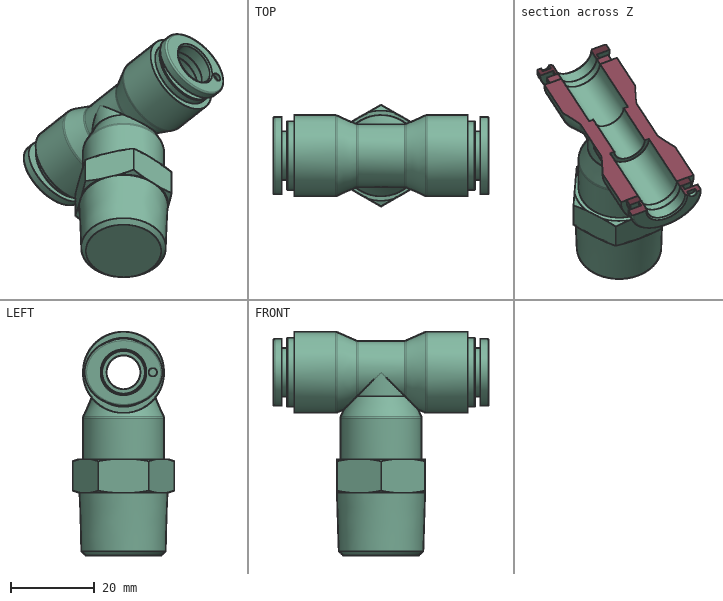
import cadquery as cq
import math

BRANCH_DIAMETER = 19.4
WAIST_DIAMETER = 15.0
WAIST_LENGTH = 5.7
CONE_LENGTH = 5.0
BLEND_RADIUS = 1.0
RUN_HALF_LENGTH = 20.7
STEM_LENGTH = 20.7
TUBE_BORE_DIAMETER = 10.2
FLOW_BORE_DIAMETER = 8.0
CONE_END = WAIST_LENGTH + CONE_LENGTH
TUBE_BORE_DEPTH = RUN_HALF_LENGTH - WAIST_LENGTH

HEX_ACROSS_FLATS = 21.0
HEX_HEIGHT = 8.0
HEX_CHAMFER_DIAMETER = 21.5
HEX_CHAMFER_HEIGHT = 0.5
THREAD_LENGTH = 15.0
THREAD_TOP_DIAMETER = 21.1
THREAD_TAPER = 1 / 16
THREAD_CHAMFER = 1.1
HEX_ACROSS_CORNERS = HEX_ACROSS_FLATS / math.cos(math.radians(30))
THREAD_END_DIAMETER = THREAD_TOP_DIAMETER - THREAD_TAPER * THREAD_LENGTH

COLLAR_DIAMETER = 16.5
COLLAR_LENGTH = 1.75
COLLAR_CHAMFER = 0.2

SLEEVE_NECK_DIAMETER = 11.7
SLEEVE_BORE_DIAMETER = 10.15
SLEEVE_BORE_CHAMFER = 0.4
FLANGE_WIDTH = 18.5
FLANGE_HEIGHT = 16.0
FLANGE_THICKNESS = 2.1
FLANGE_EDGE_RADIUS = 0.4
OVERALL_LENGTH = 51.4
MARK_DIAMETER = 2.0
MARK_OFFSET = 7.0
MARK_DEPTH = 1.0
COLLAR_OUTER_END = RUN_HALF_LENGTH + COLLAR_LENGTH
SLEEVE_LENGTH = OVERALL_LENGTH / 2 - COLLAR_OUTER_END


def make_branch(length):
    """Waist, cone and wide cylinder standing on the XY plane, rounded at the wide end of the cone."""
    waist_radius = WAIST_DIAMETER / 2
    branch_radius = BRANCH_DIAMETER / 2
    branch = (
        cq.Workplane("XZ")
        .lineTo(waist_radius, 0)
        .lineTo(waist_radius, WAIST_LENGTH)
        .lineTo(branch_radius, CONE_END)
        .lineTo(branch_radius, length)
        .lineTo(0, length)
        .close()
        .revolve(360, (0, 0, 0), (0, 1, 0))
    )
    return blend_joint(branch, CONE_END)


def blend_joint(branch, height):
    """Round the circular edge of a branch at the given height."""
    reach = BRANCH_DIAMETER
    joint = cq.selectors.BoxSelector(
        (-reach, -reach, height - BLEND_RADIUS), (reach, reach, height + BLEND_RADIUS)
    )
    return branch.edges("%CIRCLE").edges(joint).fillet(BLEND_RADIUS)


def make_tee_body():
    """Two run arms and a stem, bored along the run; only the arms are rounded at the waist as well."""
    arm = blend_joint(make_branch(RUN_HALF_LENGTH), WAIST_LENGTH).rotate((0, 0, 0), (0, 1, 0), 90)
    stem = make_branch(STEM_LENGTH).mirror("XY")
    body = arm.union(arm.mirror("YZ")).union(stem)
    flow_bore = (
        cq.Workplane("YZ").circle(FLOW_BORE_DIAMETER / 2).extrude(RUN_HALF_LENGTH, both=True)
    )
    body = body.cut(flow_bore)
    for side in (-1, 1):
        tube_bore = (
            cq.Workplane("YZ", origin=(side * RUN_HALF_LENGTH, 0, 0))
            .circle(TUBE_BORE_DIAMETER / 2)
            .extrude(-side * TUBE_BORE_DEPTH)
        )
        body = body.cut(tube_bore)
    return body


def make_nipple():
    """Hexagon with chamfered corners above a tapered thread blank."""
    hex_top = -STEM_LENGTH
    hex_bottom = hex_top - HEX_HEIGHT
    hexagon = (
        cq.Workplane("XY", origin=(0, 0, hex_bottom))
        .polygon(6, HEX_ACROSS_CORNERS)
        .extrude(HEX_HEIGHT)
        .rotate((0, 0, 0), (0, 0, 1), 30)
    )
    corner_radius = HEX_ACROSS_CORNERS / 2
    chamfer_envelope = (
        cq.Workplane("XY", origin=(0, 0, hex_bottom))
        .circle(corner_radius)
        .extrude(HEX_HEIGHT)
        .faces("<Z or >Z")
        .edges()
        .chamfer(HEX_CHAMFER_HEIGHT, corner_radius - HEX_CHAMFER_DIAMETER / 2)
    )
    thread = (
        cq.Workplane("XY", origin=(0, 0, hex_bottom))
        .circle(THREAD_TOP_DIAMETER / 2)
        .workplane(offset=-THREAD_LENGTH)
        .circle(THREAD_END_DIAMETER / 2)
        .loft()
        .faces("<Z")
        .chamfer(THREAD_CHAMFER)
    )
    return hexagon.intersect(chamfer_envelope).union(thread)


def make_collar():
    """Ring on the +X end face of the run."""
    return (
        cq.Workplane("YZ", origin=(RUN_HALF_LENGTH, 0, 0))
        .circle(COLLAR_DIAMETER / 2)
        .extrude(COLLAR_LENGTH)
        .faces(">X")
        .chamfer(COLLAR_CHAMFER)
        .cut(
            cq.Workplane("YZ", origin=(RUN_HALF_LENGTH, 0, 0))
            .circle(TUBE_BORE_DIAMETER / 2)
            .extrude(COLLAR_LENGTH)
        )
    )


def make_sleeve():
    """Release sleeve outside the +X collar: round neck, oval flange, bore and round mark."""
    outer_end = OVERALL_LENGTH / 2
    neck = (
        cq.Workplane("YZ", origin=(COLLAR_OUTER_END, 0, 0))
        .circle(SLEEVE_NECK_DIAMETER / 2)
        .extrude(SLEEVE_LENGTH)
    )
    flange = (
        cq.Workplane("YZ", origin=(outer_end - FLANGE_THICKNESS, 0, 0))
        .ellipse(FLANGE_WIDTH / 2, FLANGE_HEIGHT / 2)
        .extrude(FLANGE_THICKNESS)
        .faces(">X")
        .edges()
        .fillet(FLANGE_EDGE_RADIUS)
    )
    bore = (
        cq.Workplane("YZ", origin=(COLLAR_OUTER_END, 0, 0))
        .circle(SLEEVE_BORE_DIAMETER / 2)
        .extrude(SLEEVE_LENGTH)
    )
    bore_entry = cq.Workplane(
        cq.Solid.makeCone(
            SLEEVE_BORE_DIAMETER / 2,
            SLEEVE_BORE_DIAMETER / 2 + SLEEVE_BORE_CHAMFER,
            SLEEVE_BORE_CHAMFER,
            cq.Vector(outer_end - SLEEVE_BORE_CHAMFER, 0, 0),
            cq.Vector(1, 0, 0),
        )
    )
    mark = (
        cq.Workplane("YZ", origin=(outer_end, MARK_OFFSET, 0))
        .circle(MARK_DIAMETER / 2)
        .extrude(-MARK_DEPTH)
    )
    return neck.union(flange).cut(bore).cut(bore_entry).cut(mark)


tee_body = make_tee_body()
nipple = make_nipple()

collars = []
sleeves = []
for turn in (0, 180):
    collars.append(make_collar().rotate((0, 0, 0), (0, 0, 1), turn))
    sleeves.append(make_sleeve().rotate((0, 0, 0), (0, 0, 1), turn))

result = cq.Compound.makeCompound(
    [tee_body.val(), nipple.val()]
    + [collar.val() for collar in collars]
    + [sleeve.val() for sleeve in sleeves]
)